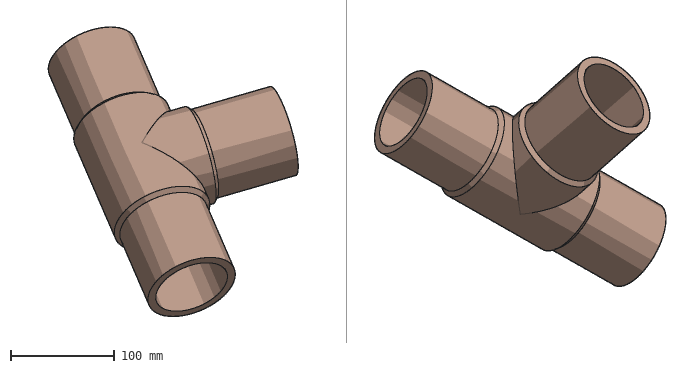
import cadquery as cq

run_length = 290.0
pipe_diameter = 90.0
collar_diameter = 98.3
bore_diameter = 73.7
collar_reach = 63.2

arm_length = run_length / 2
collar_chamfer = (collar_diameter - pipe_diameter) / 2


def cylinder(diameter, length, direction):
    """Cylinder starting at the tee centre and pointing along direction."""
    return cq.Workplane(
        cq.Solid.makeCylinder(diameter / 2, length, cq.Vector(0, 0, 0), cq.Vector(*direction))
    )


def arm_body(direction):
    """Solid pipe arm with a thicker collar, chamfered at its outer end."""
    pipe = cylinder(pipe_diameter, arm_length, direction)
    collar_straight = cylinder(collar_diameter, collar_reach - collar_chamfer, direction)
    axis = cq.Vector(*direction)
    collar_taper = cq.Solid.makeCone(
        collar_diameter / 2,
        pipe_diameter / 2,
        collar_chamfer,
        axis * (collar_reach - collar_chamfer),
        axis,
    )
    return pipe.union(collar_straight).union(cq.Workplane(collar_taper))


arm_directions = [(-1, 0, 0), (1, 0, 0), (0, 1, 0)]

result = arm_body(arm_directions[0])
for direction in arm_directions[1:]:
    result = result.union(arm_body(direction))
for direction in arm_directions:
    result = result.cut(cylinder(bore_diameter, arm_length, direction))